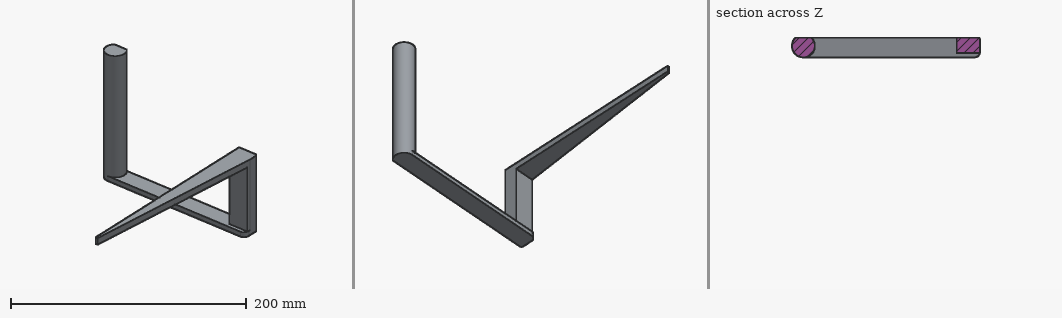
import cadquery as cq

length = 159.8
reach = 192.5
rod_height = 125.0

rod_radius = 9.8
base_depth = 17.0
rod_center_y = rod_radius - base_depth

base_thickness = 5.0
front_corner_radius = 5.0
back_corner_radius = 2.0

post_width = 20.0
post_depth = 13.0
arm_top = 74.9
arm_thickness = 6.5
arm_straight_depth = 10.0
arm_tip_width = 2.3
post_left = length - post_width


def make_rod():
    rod = cq.Workplane("XY").center(rod_radius, rod_center_y).circle(rod_radius).extrude(rod_height)
    envelope = cq.Workplane("XY").box(
        2 * rod_radius, base_depth, rod_height, centered=False
    ).translate((0, -base_depth, 0))
    return rod.intersect(envelope)


def make_base():
    base = cq.Workplane("XY").box(
        length - rod_radius, base_depth, base_thickness, centered=False
    ).translate((rod_radius, -base_depth, 0))
    base = base.edges("|Z and >X and <Y").fillet(front_corner_radius)
    return base.edges("|Z and >X and >Y").fillet(back_corner_radius)


def tapered_prism(bottom, top):
    outline = [
        (post_left, 0),
        (length, 0),
        (length, -arm_straight_depth),
        (post_left + arm_tip_width, -reach),
        (post_left, -reach),
    ]
    prism = cq.Workplane("XY").workplane(offset=bottom).polyline(outline).close().extrude(top - bottom)
    return prism.edges("|Z and >X and >Y").fillet(back_corner_radius)


def make_post():
    rear_stretch = cq.Workplane("XY").box(
        post_width, post_depth, arm_top, centered=False
    ).translate((post_left, -post_depth, 0))
    return tapered_prism(base_thickness, arm_top).intersect(rear_stretch)


def make_arm():
    return tapered_prism(arm_top - arm_thickness, arm_top)


result = make_rod().union(make_base()).union(make_post()).union(make_arm())